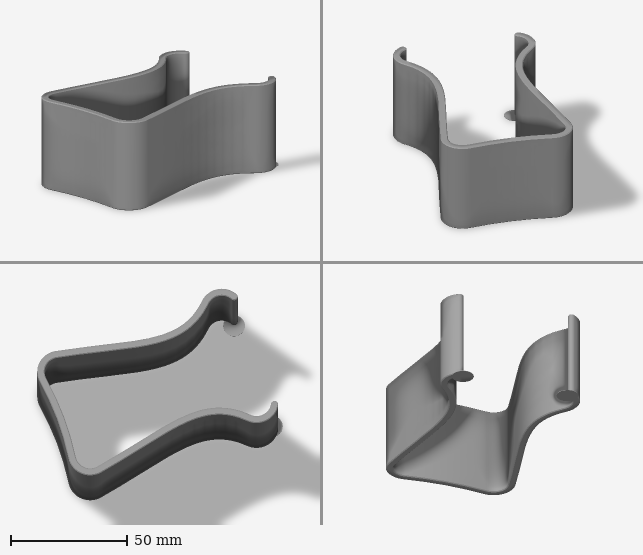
import cadquery as cq
import math

clip_height = 40.0
strip_thickness = 3.2
edge_chamfer = 0.4

corner_radius = 7.9
corner_center = cq.Vector(-19.6, corner_radius + strip_thickness / 2)
arm_lean = math.radians(10.5)
back_slope = math.radians(7.5)
corner_start = math.pi - arm_lean
corner_end = 1.5 * math.pi + back_slope
back_pull = 13.9

arm_rear_pull = 34.5
arm_front_pull = 23.0

curve_spans = 24

hook_center = cq.Vector(-21.9, 84.8)
hook_radius = 7.9
hook_start = math.radians(225)
hook_tip = math.radians(118)

pad_x = 24.0
pad_y = 91.1
pad_radius = 4.7
pad_thickness = 0.2


def on_circle(center, radius, angle):
    """Point at an angle on a circle."""
    return cq.Vector(center.x + radius * math.cos(angle), center.y + radius * math.sin(angle))


def arc(center, radius, start, end):
    """Arc edge between two angles of a circle."""
    angles = (start, (start + end) / 2, end)
    return cq.Edge.makeThreePointArc(*[on_circle(center, radius, angle) for angle in angles])


def mirrored(edge):
    """Same edge on the other side of the YZ plane."""
    return edge.mirror("YZ")


def parallel_curve(handles, offset):
    """Spline edge at a constant distance to the right of a cubic Bezier curve."""
    p0, p1, p2, p3 = handles
    points = []
    tangents = []
    for i in range(curve_spans + 1):
        t = i / curve_spans
        s = 1 - t
        point = p0 * s**3 + p1 * (3 * s * s * t) + p2 * (3 * s * t * t) + p3 * t**3
        tangent = ((p1 - p0) * (s * s) + (p2 - p1) * (2 * s * t) + (p3 - p2) * (t * t)).normalized()
        points.append(point + cq.Vector(tangent.y, -tangent.x) * offset)
        tangents.append(tangent)
    return cq.Edge.makeSpline(points, tangents=[tangents[0], tangents[-1]])


def arm_handles():
    """Bezier points of the -X arm's centreline, from hook to corner."""
    arm_start = on_circle(hook_center, hook_radius, hook_start)
    arm_end = on_circle(corner_center, corner_radius, corner_start)
    return [
        arm_start,
        on_circle(arm_start, arm_front_pull, hook_start + math.pi / 2),
        on_circle(arm_end, arm_rear_pull, corner_start - math.pi / 2),
        arm_end,
    ]


def back_handles():
    """Bezier points of the back's centreline, from the -X corner to the +X corner."""
    start = on_circle(corner_center, corner_radius, corner_end)
    pull = on_circle(start, back_pull, back_slope)
    return [start, pull, cq.Vector(-pull.x, pull.y), cq.Vector(-start.x, start.y)]


def strip_side(offset):
    """Edges of one long side of the strip, offset outwards from its centreline."""
    half = [
        arc(hook_center, hook_radius + offset, hook_tip, hook_start),
        parallel_curve(arm_handles(), offset),
        arc(corner_center, corner_radius + offset, corner_start, corner_end),
    ]
    return [*half, parallel_curve(back_handles(), offset), *[mirrored(edge) for edge in half]]


def strip_outline():
    """Closed outline: outer side, inner side and a round end at each hook tip."""
    half_thickness = strip_thickness / 2
    tip_center = on_circle(hook_center, hook_radius, hook_tip)
    tip = arc(tip_center, half_thickness, hook_tip, hook_tip - math.pi)
    edges = [*strip_side(half_thickness), *strip_side(-half_thickness), tip, mirrored(tip)]
    return cq.Wire.combine(edges)[0]


def make_pad(side):
    """Round pad at z = 0, on the -X (side = -1) or +X (side = 1) side."""
    return cq.Workplane("XY").center(side * pad_x, pad_y).circle(pad_radius).extrude(pad_thickness)


def make_clip(pads):
    """Strip with round ends and broken edges, recessed underneath for the pads."""
    strip = cq.Workplane("XY").add(strip_outline()).toPending().extrude(clip_height)
    strip = strip.faces("<Z or >Z").chamfer(edge_chamfer)
    for pad in pads:
        strip = strip.cut(pad)
    return strip


pads = [make_pad(side) for side in (-1, 1)]
clip = make_clip(pads)

result = cq.Compound.makeCompound([clip.val(), *[pad.val() for pad in pads]])